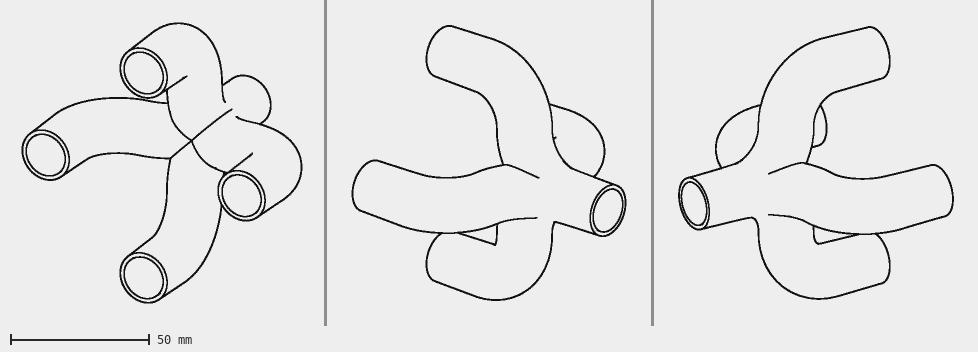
import cadquery as cq
import math

pipe_radius = 10.0
end_radius = 9.6
bore_radius = 8.0
socket_length = 20.0
branch_offset = 40.0
total_length = 79.1
first_bend_radius = 20.3
branch_count = 4

bend_length = total_length - 2 * socket_length
bend_angle = 2 * math.atan2(branch_offset, bend_length)
bend_degrees = math.degrees(bend_angle)
second_bend_radius = bend_length / math.sin(bend_angle) - first_bend_radius

outlet_bend_y = socket_length
inlet_bend_y = socket_length + bend_length


def bend(radius, start_x, start_y, bend_radius, direction):
    """Solid torus sector starting on a circle in an XZ plane, turned about a Z axis.

    direction is +1 when the bend axis lies on the +X side of the start, -1 on the -X side.
    """
    axis_start = (direction * bend_radius, 0, 0)
    axis_end = (direction * bend_radius, 1, 0)
    return (
        cq.Workplane("XZ", origin=(start_x, start_y, 0))
        .circle(radius)
        .revolve(bend_degrees, axis_start, axis_end)
    )


def straight(radius, tip_radius, x, bend_y, direction):
    """Straight end from its bend to its tip, running along +Y or -Y."""
    tip_y = direction * socket_length
    return (
        cq.Workplane("XY", origin=(x, bend_y, 0))
        .polyline([(0, 0), (radius, 0), (tip_radius, tip_y), (0, tip_y)])
        .close()
        .revolve(360, (0, 0, 0), (0, 1, 0))
    )


def branch(radius, tip_radius):
    """Solid S-shaped branch toward +X with its straight outlet."""
    inlet_arc = bend(radius, 0, inlet_bend_y, first_bend_radius, 1)
    outlet_arc = bend(radius, branch_offset, outlet_bend_y, second_bend_radius, -1)
    outlet = straight(radius, tip_radius, branch_offset, outlet_bend_y, -1)
    return inlet_arc.union(outlet_arc).union(outlet)


def manifold(radius, tip_radius):
    """Solid inlet joined to equally spaced branches around the Y axis."""
    body = straight(radius, tip_radius, 0, inlet_bend_y, 1)
    arm = branch(radius, tip_radius)
    for index in range(branch_count):
        body = body.union(arm.rotate((0, 0, 0), (0, 1, 0), index * 360 / branch_count))
    return body


outer = manifold(pipe_radius, end_radius)
bores = manifold(bore_radius, bore_radius)
result = outer.cut(bores)